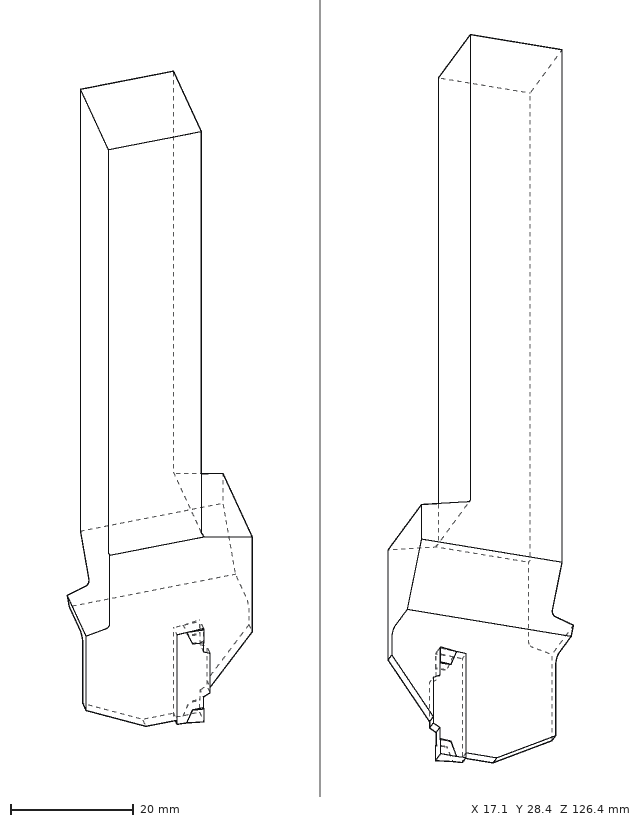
import cadquery as cq
import math

overall_height = 126.4
shank_side = 15.9

head_width = 16.7
head_front = -4.0
head_back = 24.4
head_top = 39.5
head_back_top = 37.5
ledge_root = 24.0
ledge_lip = 23.1
ledge_fillet = 0.9
shoulder_fillet = 0.5
step_fillet = 0.3
bevel_top = 31.1
bevel_foot_x = 7.1
head_underside = 21.6

blade_thickness = 1.9
blade_fillet = 1.6
blade_bottom = 1.1
blade_back_bevel_top = 17.0
blade_back_bevel_y = 13.1
blade_front_bevel_top = 7.1
blade_front_bevel_y = 6.2
blade_left = head_width - blade_thickness
blade_center = head_width - blade_thickness / 2

insert_height = 19.8
insert_width = 2.7
insert_front = 11.5
edge_y = 16.0
insert_back = 17.2
end_clearance = 0.3
land_end = 5.0
raised_start = 5.7
tip_height = 2.8
tip_root_y = 13.1
tip_shoulder_y = 14.2
insert_middle = insert_height / 2


def make_holder():
    arc_offset = blade_fillet * (1 - math.sqrt(0.5))
    step_corner = cq.selectors.NearestToPointSelector((shank_side, (head_front + head_back) / 2, head_top))
    front_profile = (
        cq.Workplane("XZ", origin=(0, head_back, 0))
        .moveTo(0, overall_height)
        .lineTo(shank_side, overall_height)
        .lineTo(shank_side, head_top)
        .lineTo(head_width, head_top)
        .lineTo(head_width, blade_bottom)
        .lineTo(blade_left, blade_bottom)
        .lineTo(blade_left, head_underside - blade_fillet)
        .threePointArc(
            (blade_left - arc_offset, head_underside - arc_offset),
            (blade_left - blade_fillet, head_underside),
        )
        .lineTo(bevel_foot_x, head_underside)
        .lineTo(0, bevel_top)
        .close()
        .extrude(head_back - head_front)
        .edges(step_corner)
        .fillet(step_fillet)
    )
    side_outline = [
        (0, overall_height),
        (shank_side, overall_height),
        (shank_side, head_top),
        (head_back, head_back_top),
        (head_back, blade_back_bevel_top),
        (blade_back_bevel_y, blade_bottom),
        (blade_front_bevel_y, blade_bottom),
        (head_front, blade_front_bevel_top),
        (head_front, ledge_lip),
        (0, ledge_root),
    ]
    shoulder_corner = cq.selectors.NearestToPointSelector((head_width / 2, shank_side, head_top))
    ledge_corner = cq.selectors.NearestToPointSelector((head_width / 2, 0, ledge_root))
    side_profile = (
        cq.Workplane("YZ")
        .polyline(side_outline)
        .close()
        .extrude(head_width)
        .edges(ledge_corner)
        .fillet(ledge_fillet)
        .edges(shoulder_corner)
        .fillet(shoulder_fillet)
    )
    return front_profile.intersect(side_profile)


def make_tip():
    """Lower cutting tip: widest at its cutting edge, relieved towards the front."""
    half_edge = insert_width / 2
    half_root = blade_thickness / 2
    relief = (
        cq.Workplane("XY")
        .polyline([
            (blade_center - half_edge, edge_y),
            (blade_center + half_edge, edge_y),
            (blade_center + half_root, tip_root_y),
            (blade_center - half_root, tip_root_y),
        ])
        .close()
        .extrude(tip_height)
    )
    root_clearance = end_clearance * (edge_y - tip_root_y) / (edge_y - insert_front)
    side_profile = (
        cq.Workplane("YZ", origin=(blade_center - half_edge, 0, 0))
        .polyline([
            (edge_y, 0),
            (edge_y, tip_height),
            (tip_shoulder_y, tip_height),
            (tip_root_y, root_clearance),
        ])
        .close()
        .extrude(insert_width)
    )
    return relief.intersect(side_profile)


def make_insert():
    lower_outline = [
        (insert_front, end_clearance),
        (edge_y, 0),
        (edge_y, land_end),
        (insert_back, raised_start),
    ]
    upper_outline = [(y, insert_height - z) for y, z in reversed(lower_outline)]
    body = (
        cq.Workplane("YZ", origin=(blade_left, 0, 0))
        .polyline(lower_outline + upper_outline)
        .close()
        .extrude(blade_thickness)
    )
    lower_tip = make_tip()
    upper_tip = lower_tip.mirror("XY", (0, 0, insert_middle))
    return body.union(lower_tip).union(upper_tip)


insert = make_insert()
holder = make_holder().cut(insert)

result = cq.Compound.makeCompound([holder.solids().val(), insert.solids().val()])